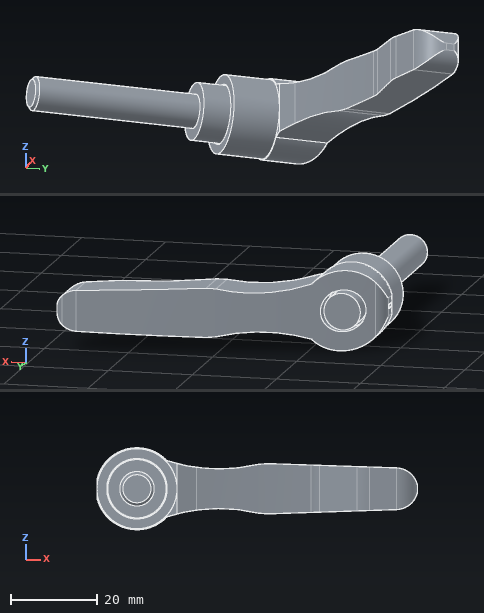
import cadquery as cq
import math

head_diameter = 19.0
head_radius = head_diameter / 2
collar_diameter = 18.5
collar_radius = collar_diameter / 2
collar_length = 11.1
collar_bore_diameter = 14
sleeve_diameter = 13.5
sleeve_end = -17.6

screw_diameter = 8.0
screw_end = -57.7
screw_chamfer = 0.7
screw_head_diameter = 8.6
screw_head_top = 10.95
socket_diameter = 9.9
socket_floor = 4.1

overall_length_x = 74.1
lever_top = 24.6
lever_tip = overall_length_x - collar_radius
tip_start = 60.1
tip_half_width = 4.85
tip_flat_half_width = 0.8
tip_arc_x = 63.6
tip_arc_half_width = 3.2
neck_start = 6.9
grip_start = 28.05
grip_blend_end = 30.3
grip_half_width = 5.85
grip_blend_half_width = 5.7
waist_x = 18.1
waist_half_width = 4.6
recess_y = 12.4

mark_width = 0.9
mark_length = 3.1
mark_depth = 0.2


def cylinder(diameter, y_low, y_high):
    """Cylinder on the screw axis between two heights."""
    plane = cq.Workplane("XZ", origin=(0, y_low, 0))
    return plane.circle(diameter / 2).extrude(y_low - y_high)


def lever_side_shape():
    """Curved arm and head, seen across the lever, as a thick plate."""
    profile = (
        cq.Workplane("XY", origin=(0, 0, -head_radius))
        .moveTo(-collar_radius, 0)
        .lineTo(-collar_radius, 3.7)
        .threePointArc((-8.55, 5.7), (-7.0, 7.0))
        .threePointArc((grip_start, 19.1), (tip_start, 24.5))
        .lineTo(63.35, lever_top)
        .threePointArc((64.4, 24.1), (lever_tip, 23))
        .lineTo(lever_tip, 21.2)
        .threePointArc((tip_arc_x, 17.4), (tip_start, 14.8))
        .lineTo(53.7, 12.8)
        .threePointArc((52.3, 12.5), (50.9, recess_y))
        .lineTo(42.2, recess_y)
        .threePointArc((41.2, 12.35), (40.2, 12.1))
        .threePointArc((25.2, 7.0), (13.7, 2.3))
        .lineTo(collar_radius, 0)
        .close()
    )
    return profile.extrude(head_diameter)


def lever_plan_shape():
    """Outline along the screw axis: round head, narrow waist, wider grip and round tip."""
    neck_half_width = math.sqrt(head_radius**2 - neck_start**2)
    outline = (
        cq.Workplane("XZ")
        .moveTo(neck_start, neck_half_width)
        .threePointArc((waist_x, waist_half_width), (grip_start, grip_blend_half_width))
        .lineTo(grip_blend_end, grip_half_width)
        .lineTo(tip_start, tip_half_width)
        .threePointArc((tip_arc_x, tip_arc_half_width), (lever_tip, tip_flat_half_width))
        .lineTo(lever_tip, -tip_flat_half_width)
        .threePointArc((tip_arc_x, -tip_arc_half_width), (tip_start, -tip_half_width))
        .lineTo(grip_blend_end, -grip_half_width)
        .lineTo(grip_start, -grip_blend_half_width)
        .threePointArc((waist_x, -waist_half_width), (neck_start, -neck_half_width))
        .threePointArc((-head_radius, 0), (neck_start, neck_half_width))
        .close()
    )
    return outline.extrude(-lever_top)


def mark_groove():
    """Shallow index mark on the flat of the head, open at the collar joint."""
    return cq.Workplane("XY").box(
        mark_depth, mark_length, mark_width, centered=(False, False, True)
    ).translate((-collar_radius, 0, 0))


lever = lever_side_shape().intersect(lever_plan_shape())
lever = lever.cut(mark_groove())

collar = cylinder(collar_diameter, -collar_length, 0)
collar = collar.cut(cylinder(collar_bore_diameter, -collar_length, 0))
socket = cylinder(socket_diameter, socket_floor, lever_top)
body = lever.union(collar).cut(socket)

sleeve = cylinder(sleeve_diameter, sleeve_end, 0)
screw_head = cylinder(screw_head_diameter, socket_floor, screw_head_top)
screw = cylinder(screw_diameter, screw_end, 0).faces("<Y").chamfer(screw_chamfer)

result = body.union(sleeve).union(screw_head).union(screw)